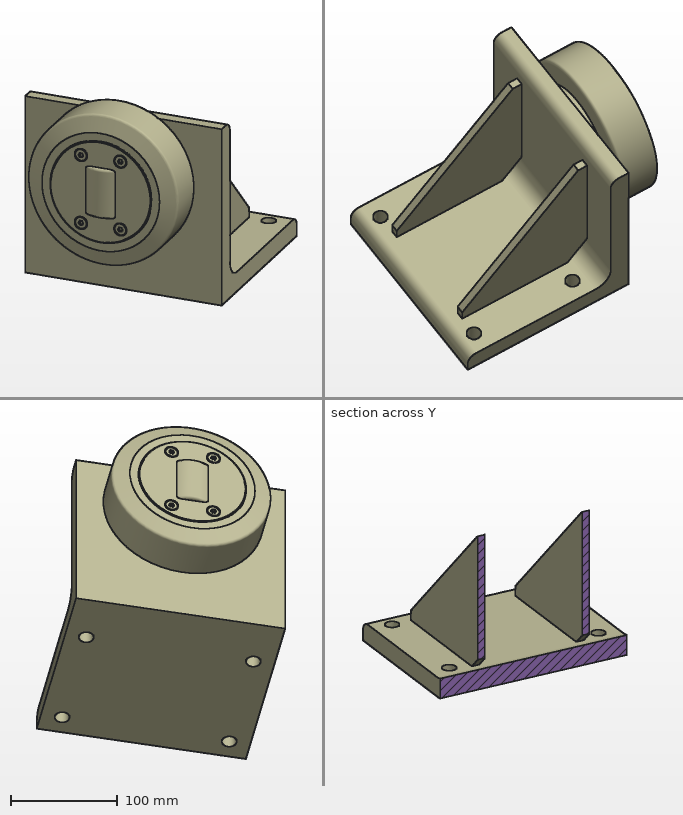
import cadquery as cq

bracket_width = 200.0
leg_length = 179.8
leg_thickness = 20.0
leg_end_radius = 9.5
inside_corner_radius = 16.7

bolt_hole_diameter = 13.8
bolt_spacing_x = 159.8
bolt_spacing_y = 110.2
bolt_back_margin = 20.0

gusset_thickness = 7.9
gusset_outer_offset = 59.9
gusset_end_margin = 20.0
gusset_end_height = 10.0
gusset_corner_cut = 22.0

roller_axis_height = 120.2
roller_diameter = 152.6
collar_diameter = 102.5
collar_length = 8.3
roller_width = 45.5
roller_back_fillet = 2.9
roller_front_fillet = 2.9
roller_cone_depth = 5.7
roller_front_diameter = 119.7

cap_diameter = 101.4
cap_bore_diameter = 103.0
cap_protrusion = 0.7
cap_groove_depth = 2.5

screw_spacing_x = 40.0
screw_spacing_z = 69.2
screw_hole_diameter = 12.6
screw_head_diameter = 11.7
screw_groove_depth = 1.2
hex_corner_diameter = 4.8
hex_depth = 2.5

total_projection = 58.7
thrust_roller_radius = 29.5
thrust_roller_length = 50.0
thrust_roller_fillet = 2.6

roller_front = collar_length + roller_width
cap_front = roller_front + cap_protrusion


def front_plane(distance):
    """Plane facing -Y on the roller axis, at a distance in front of the bracket."""
    return cq.Workplane("XZ", origin=(0, -distance, roller_axis_height))


def make_bracket():
    bracket = (
        cq.Workplane("YZ")
        .polyline([
            (0, 0),
            (leg_length, 0),
            (leg_length, leg_thickness),
            (leg_thickness, leg_thickness),
            (leg_thickness, leg_length),
            (0, leg_length),
        ])
        .close()
        .extrude(bracket_width / 2, both=True)
    )

    def edge_at(y, z):
        return cq.selectors.NearestToPointSelector((0, y, z))

    bracket = bracket.edges(edge_at(leg_thickness, leg_thickness)).fillet(inside_corner_radius)
    bracket = bracket.edges(edge_at(leg_length, leg_thickness)).fillet(leg_end_radius)
    bracket = bracket.edges(edge_at(leg_thickness, leg_length)).fillet(leg_end_radius)
    hole_centre_y = leg_length - bolt_back_margin - bolt_spacing_y / 2
    holes = (
        cq.Workplane("XY", origin=(0, hole_centre_y, 0))
        .rarray(bolt_spacing_x, bolt_spacing_y, 2, 2)
        .circle(bolt_hole_diameter / 2)
        .extrude(leg_thickness)
    )
    return bracket.cut(holes)


def make_gusset(start_x):
    inner = leg_thickness
    outer = leg_length - gusset_end_margin
    end = leg_thickness + gusset_end_height
    cut = leg_thickness + gusset_corner_cut
    return (
        cq.Workplane("YZ", origin=(start_x, 0, 0))
        .polyline([(cut, inner), (outer, inner), (outer, end), (end, outer), (inner, outer), (inner, cut)])
        .close()
        .extrude(gusset_thickness)
    )


def make_roller():
    roller = front_plane(0).circle(collar_diameter / 2).extrude(collar_length)
    outer_radius = roller_diameter / 2
    shoulder = roller_front - roller_cone_depth
    tyre = (
        cq.Workplane(cq.Plane(origin=(0, 0, roller_axis_height), xDir=(1, 0, 0), normal=(0, 0, -1)))
        .polyline([
            (0, collar_length),
            (outer_radius, collar_length),
            (outer_radius, shoulder),
            (roller_front_diameter / 2, roller_front),
            (0, roller_front),
        ])
        .close()
        .revolve(360, (0, 0, 0), (0, 1, 0))
    )

    tyre = tyre.edges("%CIRCLE").edges("<<Y[1]").fillet(roller_front_fillet)
    tyre = tyre.edges(">Y").fillet(roller_back_fillet)
    return roller.union(tyre)


def add_cap(body):
    cap_floor = front_plane(roller_front - cap_groove_depth)
    cap_height = cap_groove_depth + cap_protrusion
    bore = cap_floor.circle(cap_bore_diameter / 2).extrude(cap_height)
    cap = cap_floor.circle(cap_diameter / 2).extrude(cap_height)
    return body.cut(bore).union(cap)


def cut_screws(body):
    def at_screws(depth):
        return front_plane(cap_front - depth).rarray(screw_spacing_x, screw_spacing_z, 2, 2)

    grooves = (
        at_screws(screw_groove_depth)
        .circle(screw_hole_diameter / 2)
        .circle(screw_head_diameter / 2)
        .extrude(screw_groove_depth)
    )
    sockets = at_screws(hex_depth).polygon(6, hex_corner_diameter).extrude(hex_depth)
    return body.cut(grooves).cut(sockets)


def make_thrust_roller():
    axis_y = thrust_roller_radius - total_projection
    base_z = roller_axis_height - thrust_roller_length / 2
    return (
        cq.Workplane("XY", origin=(0, axis_y, base_z))
        .circle(thrust_roller_radius)
        .extrude(thrust_roller_length)
        .edges()
        .fillet(thrust_roller_fillet)
    )


gusset_starts = (-gusset_outer_offset, gusset_outer_offset - gusset_thickness)

result = make_bracket()
for gusset_start in gusset_starts:
    result = result.union(make_gusset(gusset_start))
result = cut_screws(add_cap(result.union(make_roller())))
result = result.union(make_thrust_roller())